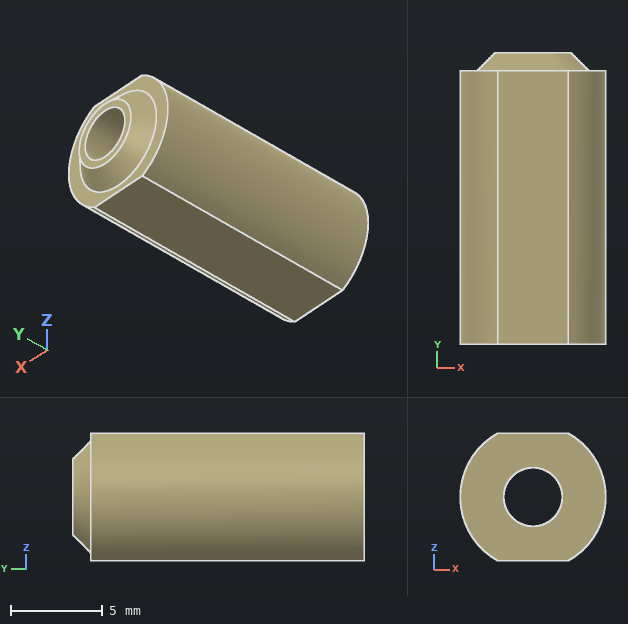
import cadquery as cq

total_length = 16.0
nose_length = 1.0
body_diameter = 8.0
across_flats = 7.0
bore_diameter = 3.2
nose_base_diameter = 6.15

body_length = total_length - nose_length
nose_tip_diameter = nose_base_diameter - 2 * nose_length


def make_body():
    """Round bar with two parallel flats facing +Z and -Z."""
    bar = cq.Workplane("XZ").circle(body_diameter / 2).extrude(-body_length)
    flats = cq.Workplane("XZ").rect(body_diameter, across_flats).extrude(-body_length)
    return bar.intersect(flats)


def make_nose():
    """Conical nose on the +Y end of the body."""
    return (
        cq.Workplane("XY")
        .moveTo(0, body_length)
        .lineTo(nose_base_diameter / 2, body_length)
        .lineTo(nose_tip_diameter / 2, total_length)
        .lineTo(0, total_length)
        .close()
        .revolve(360, (0, 0, 0), (0, 1, 0))
    )


def make_bore():
    """Straight hole through the full length."""
    return cq.Workplane("XZ").circle(bore_diameter / 2).extrude(-total_length)


result = make_body().union(make_nose()).cut(make_bore())